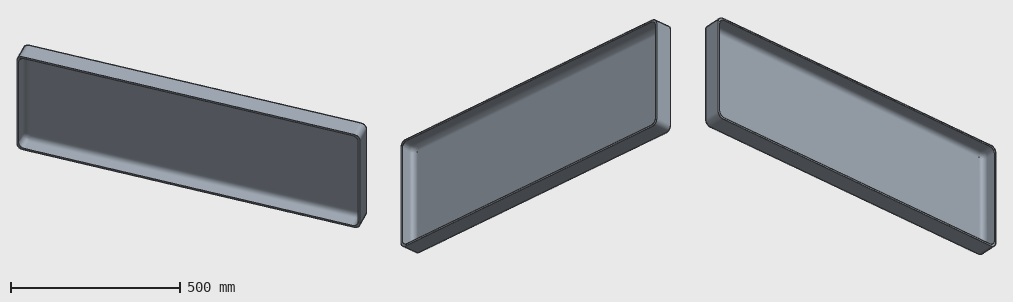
import cadquery as cq

LENGTH = 1080.0
DEPTH = 57.0
HEIGHT = 357.0
CORNER_RADIUS = 19.0

RIM_WALL = 5.9
FLOOR = 11.0
DRAFT_ANGLE = 2.5
CAVITY_CORNER_RADIUS = 18.0
FLOOR_FILLET = 17.0

RIM_Y = -DEPTH / 2
CAVITY_DEPTH = DEPTH - FLOOR


def outer_block():
    """Solid block with its four edges along Y rounded."""
    return cq.Workplane("XY").box(LENGTH, DEPTH, HEIGHT).edges("|Y").fillet(CORNER_RADIUS)


def cavity():
    """Interior that narrows from the rim to the floor, with rounded corners and floor edge."""
    opening = cq.Workplane("XZ", origin=(0, RIM_Y, 0)).rect(LENGTH - 2 * RIM_WALL, HEIGHT - 2 * RIM_WALL)
    block = opening.extrude(-CAVITY_DEPTH, taper=DRAFT_ANGLE)
    rounded = block.edges("not(<Y or >Y or #Y)").fillet(CAVITY_CORNER_RADIUS)
    return rounded.faces(">Y").edges().fillet(FLOOR_FILLET)


result = outer_block().cut(cavity())